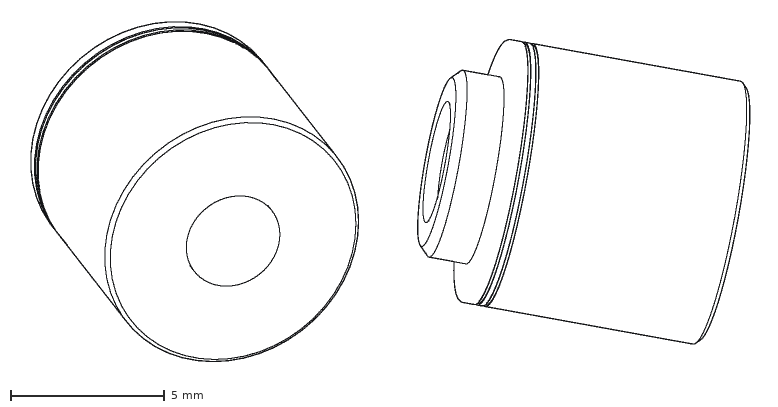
import cadquery as cq

total_length = 9.53
body_radius = 8.74 / 2
front_round = 0.14
rear_chamfer = 0.14

spigot_length = 1.54
spigot_radius = 3.11
spigot_chamfer = 0.305

bore_radius = 1.61
mouth_chamfer = 0.4

groove_starts = (2.06, 2.33)
groove_width = 0.1
groove_depth = 0.05


def cylinder(start, length, radius):
    """Solid cylinder on the X axis."""
    return cq.Workplane("YZ", origin=(start, 0, 0)).circle(radius).extrude(length)


def ring_groove(start):
    """Ring of material to cut from the outside of the body."""
    outer = cylinder(start, groove_width, body_radius + groove_depth)
    return outer.cut(cylinder(start, groove_width, body_radius - groove_depth))


body = cylinder(spigot_length, total_length - spigot_length, body_radius)
body = body.faces("<X").edges().fillet(front_round)
body = body.faces(">X").edges().chamfer(rear_chamfer)

for groove_start in groove_starts:
    body = body.cut(ring_groove(groove_start))

spigot = cylinder(0, spigot_length, spigot_radius)
spigot = spigot.faces("<X").edges().chamfer(spigot_chamfer)

bore = cylinder(0, total_length, bore_radius)

countersink = cq.Workplane("XY").add(
    cq.Solid.makeCone(
        bore_radius + mouth_chamfer,
        bore_radius,
        mouth_chamfer,
        pnt=cq.Vector(0, 0, 0),
        dir=cq.Vector(1, 0, 0),
    )
)

result = body.union(spigot).cut(bore).cut(countersink)